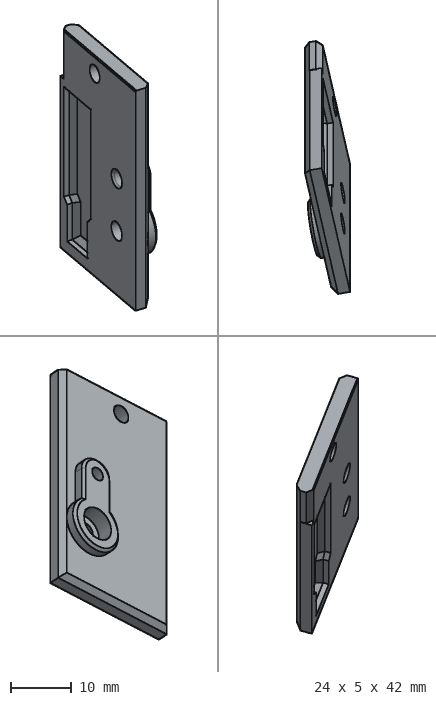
import cadquery as cq
import math

plate_width = 24.0
plate_thickness = 3.0
plate_height = 42.0
back_chamfer = 1.0
top_chamfer = 0.2

relief_length = 9.3
relief_depth = 0.08
relief_chamfer = 1.0

pocket_left = 1.2
pocket_bottom = 2.25
pocket_top = 31.2
pocket_width = 8.5
pocket_shoulder = 1.0
neck_length = 7.0
pocket_wall = 1.0
pocket_bevel = 1.0

hole_x = 18.0
screw_z = 12.2
insert_z = screw_z + 10.0
top_hole_x = 11.0
top_hole_z = 38.7

top_hole_diameter = 3.2
screw_diameter = 3.4
head_diameter = 6.0
head_seat_y = 2.0
insert_mouth_diameter = 3.4
insert_taper_diameter = 2.9
insert_bore_diameter = 2.4
insert_mouth_depth = 0.4
insert_taper_end = 1.4

boss_height = 2.0
boss_radius = 5.0
boss_arm_radius = 3.1
boss_chamfer = 0.5

back_y = plate_thickness + boss_height


def front_plane(y):
    """Workplane at depth y with local axes X and Z, extruding toward -Y."""
    return cq.Workplane("XZ", origin=(0, y, 0))


def cylinder(x, z, diameter, y_start, y_end):
    """Cylinder along Y between two depths."""
    return front_plane(y_end).center(x, z).circle(diameter / 2).extrude(y_end - y_start)


def make_plate():
    plate = cq.Workplane("XY").box(plate_width, plate_thickness, plate_height, centered=False)
    plate = plate.edges("(>Y and <X) or (>Y and >X) or (>Y and <Z)").chamfer(back_chamfer)
    return plate.edges("<Y and >Z").chamfer(top_chamfer)


def make_edge_relief():
    bevel_end = relief_depth + relief_chamfer
    return (
        cq.Workplane("XY", origin=(0, 0, plate_height - relief_length))
        .polyline([
            (0, 0),
            (bevel_end, 0),
            (relief_depth, relief_chamfer),
            (relief_depth, plate_thickness),
            (0, plate_thickness),
        ])
        .close()
        .extrude(relief_length)
    )


def pocket_outline(inset):
    """Corner points of the pocket outline, moved inward by inset."""
    left = pocket_left + inset
    right = pocket_left + pocket_width - inset
    bottom = pocket_bottom + inset
    top = pocket_top - inset
    slide = inset * math.tan(math.pi / 8)
    shoulder_bottom = pocket_bottom + neck_length + slide
    shoulder_top = shoulder_bottom + pocket_shoulder
    return [
        (left, top),
        (right, top),
        (right, shoulder_top),
        (right - pocket_shoulder, shoulder_bottom),
        (right - pocket_shoulder, bottom),
        (left + pocket_shoulder, bottom),
        (left + pocket_shoulder, shoulder_bottom),
        (left, shoulder_top),
    ]


def make_pocket():
    walls = front_plane(pocket_wall).polyline(pocket_outline(0)).close().extrude(pocket_wall)
    bevel = (
        front_plane(pocket_wall)
        .polyline(pocket_outline(0))
        .close()
        .workplane(offset=-pocket_bevel)
        .polyline(pocket_outline(pocket_bevel))
        .close()
        .loft(ruled=True)
    )
    return walls.union(bevel)


def make_boss():
    join_z = screw_z + math.sqrt(boss_radius**2 - boss_arm_radius**2)
    left = hole_x - boss_arm_radius
    right = hole_x + boss_arm_radius
    boss = (
        front_plane(back_y)
        .moveTo(left, join_z)
        .lineTo(left, insert_z)
        .threePointArc((hole_x, insert_z + boss_arm_radius), (right, insert_z))
        .lineTo(right, join_z)
        .threePointArc((hole_x, screw_z - boss_radius), (left, join_z))
        .close()
        .extrude(boss_height)
    )
    return boss.faces(">Y").edges().chamfer(boss_chamfer)


def make_screw_hole():
    shank = cylinder(hole_x, screw_z, screw_diameter, 0, back_y)
    head = cylinder(hole_x, screw_z, head_diameter, head_seat_y, back_y)
    return shank.union(head)


def make_insert_hole():
    """Through hole with a countersunk mouth and a tapered lead-in."""
    profile = [
        (0, 0),
        (insert_mouth_diameter / 2, 0),
        (insert_taper_diameter / 2, insert_mouth_depth),
        (insert_bore_diameter / 2, insert_taper_end),
        (insert_bore_diameter / 2, back_y),
        (0, back_y),
    ]
    hole = cq.Workplane("XY").polyline(profile).close().revolve(360, (0, 0), (0, 1))
    return hole.translate((hole_x, 0, insert_z))


result = (
    make_plate()
    .union(make_boss())
    .cut(make_edge_relief())
    .cut(make_pocket())
    .cut(make_screw_hole())
    .cut(make_insert_hole())
    .cut(cylinder(top_hole_x, top_hole_z, top_hole_diameter, 0, plate_thickness))
)